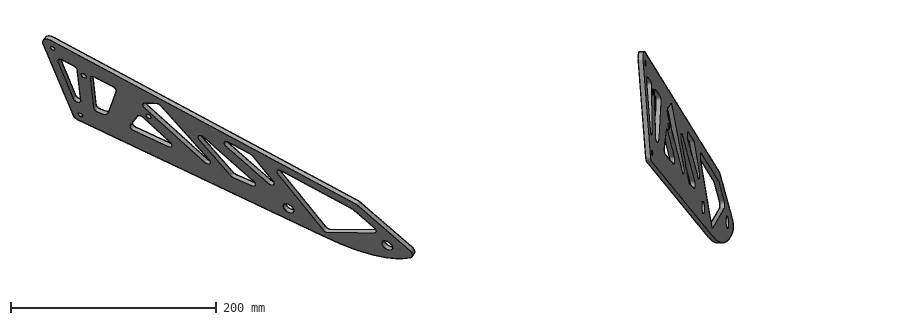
import cadquery as cq

THICKNESS = 5.0

UPPER_LEFT = (-4.5, 120.5)
LOWER_LEFT = (35.5, 15.7)
SHOULDER = (351.5, 70.8)
UPPER_LEFT_RADIUS = 8.3
LOWER_LEFT_RADIUS = 6.5
SHOULDER_RADIUS = 12.5

BELLY_START = (310.5, 1.0)
BELLY_LOWEST = (331.0, 0)
BELLY_MIDDLE = (376.5, 6.5)
NOSE_BOTTOM = (410.0, 24.0)
NOSE_TIP = (414.0, 30.2)
NOSE_TOP = (410.0, 36.5)
NOSE_DIRECTION = (1, 0.85)

HOLES = [
    (5.0, [(11.0, 107.5), (42.2, 25.0)]),
    (6.0, [(46.0, 86.5), (118.5, 67.5)]),
    (12.0, [(275.2, 20.0), (385.8, 28.5)]),
]

CORNER_RADIUS = 4.0
WIDE_CORNER_RADIUS = 8.3
LEFT_SLIVER = [(15.0, 97.0), (38.0, 94.5), (45.0, 16.0)]
TAPERED_SLOT = [(53.0, 92.0), (83.0, 88.5), (72.0, 40.5), (57.5, 40.5)]
TAPERED_SLOT_WIDE_CORNER = TAPERED_SLOT[2]
LOWER_TRIANGLE = [(108.5, 65.0), (155.2, 34.0), (95.5, 36.5)]
LONG_BLADE = [(130.0, 93.5), (220.0, 10.0), (108.0, 81.5)]
LOWER_BLADE = [(147.8, 92.0), (248.8, 30.2), (212.0, 30.2)]
UPPER_BLADE = [(187.5, 83.5), (234.0, 77.0), (277.7, 30.0)]
NOSE_WINDOW = [(255.5, 73.5), (347.3, 61.0), (377.5, 43.0), (316.5, 7.5)]
WINDOWS = [LEFT_SLIVER, TAPERED_SLOT, LOWER_TRIANGLE, LONG_BLADE, LOWER_BLADE, UPPER_BLADE, NOSE_WINDOW]


def plate_plane():
    """Plane on the back face; its normal points along -Y, through the plate."""
    return cq.Workplane("XZ", origin=(0, THICKNESS, 0))


def round_corner(body, corner, radius):
    """Fillet the through-thickness edge nearest to an (X, Z) corner."""
    middle = (corner[0], THICKNESS / 2, corner[1])
    return body.edges("|Y").edges(cq.selectors.NearestToPointSelector(middle)).fillet(radius)


def make_plate():
    belly_direction = (BELLY_START[0] - LOWER_LEFT[0], BELLY_START[1] - LOWER_LEFT[1])
    plate = (
        plate_plane()
        .moveTo(*UPPER_LEFT)
        .lineTo(*LOWER_LEFT)
        .lineTo(*BELLY_START)
        .spline(
            [BELLY_LOWEST, BELLY_MIDDLE, NOSE_BOTTOM],
            tangents=[belly_direction, NOSE_DIRECTION],
            includeCurrent=True,
        )
        .threePointArc(NOSE_TIP, NOSE_TOP)
        .lineTo(*SHOULDER)
        .close()
        .extrude(THICKNESS)
    )
    plate = round_corner(plate, UPPER_LEFT, UPPER_LEFT_RADIUS)
    plate = round_corner(plate, LOWER_LEFT, LOWER_LEFT_RADIUS)
    return round_corner(plate, SHOULDER, SHOULDER_RADIUS)


def make_window(corners):
    window = plate_plane().polyline(corners).close().extrude(THICKNESS)
    for corner in corners:
        radius = WIDE_CORNER_RADIUS if corner == TAPERED_SLOT_WIDE_CORNER else CORNER_RADIUS
        window = round_corner(window, corner, radius)
    return window


result = make_plate()
for window_corners in WINDOWS:
    result = result.cut(make_window(window_corners))
for diameter, centres in HOLES:
    result = result.cut(plate_plane().pushPoints(centres).circle(diameter / 2).extrude(THICKNESS))